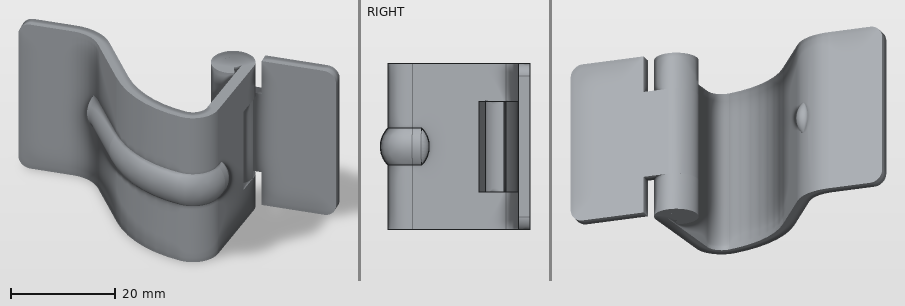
import cadquery as cq
import math

length = 64.0
height = 32.0
thickness = 2.3
corner_radius = 2.4
mid_z = height / 2

pin_radius = 2.0
loop_radius = pin_radius + thickness
pin_x = 43.9
pin_center = (pin_x, -loop_radius)
strap_loop_opening = 64.0
leaf_loop_opening = 100.0
knuckle_height = 7.3
middle_height = height - 2 * knuckle_height
leaf_clearance = 0.8
arm_clearance = 1.3

flange_length = 11.0
slope_angle = 57.0
flange_bend_front = 7.2
flange_bend_back = flange_bend_front + thickness
slope_length = 13.3
curve_front = 23.9
curve_back = curve_front - thickness
curve_end_angle = 9.2
nose_front = 5.25
nose_back = nose_front - thickness

bead_width = 7.1
bead_height = 1.5
bead_root = 1.6
bead_start_angle = 40.0
bead_arm_length = 1.7

bump_radius = 1.65
bump_height = 1.2


def polar(center, radius, angle):
    """Point at the given angle in degrees, counter-clockwise from +X."""
    a = math.radians(angle)
    return (center[0] + radius * math.cos(a), center[1] + radius * math.sin(a))


flange_bend_end = 90 - slope_angle
curve_start = 270 - slope_angle
curve_end = 270 - curve_end_angle
flange_bend_center = (flange_length, -flange_bend_back)
slope_start = polar(flange_bend_center, flange_bend_front, flange_bend_end)
slope_end = polar(slope_start, slope_length, -slope_angle)
curve_center = polar(slope_end, curve_front, flange_bend_end)
nose_center = polar(curve_center, curve_front - nose_front, curve_end)

center_dx = pin_center[0] - nose_center[0]
center_dy = pin_center[1] - nose_center[1]
center_distance = math.hypot(center_dx, center_dy)
arm_lean = math.degrees(
    math.atan2(center_dx, center_dy) - math.asin((nose_front - loop_radius) / center_distance)
)
arm_angle = -arm_lean


def arc(sketch, center, radius, start, end):
    """Continue the wire along an arc that begins at its current point."""
    return sketch.threePointArc(polar(center, radius, (start + end) / 2), polar(center, radius, end))


def strap_body():
    """Rolled sheet from the flange to the end of the hinge loop."""
    loop_end = 360 + arm_angle - strap_loop_opening
    nose_start = curve_end - 360
    w = cq.Workplane("XY").moveTo(0, -thickness).lineTo(flange_length, -thickness)
    w = arc(w, flange_bend_center, flange_bend_front, 90, flange_bend_end)
    w = w.lineTo(*slope_end)
    w = arc(w, curve_center, curve_front, curve_start, curve_end)
    w = arc(w, nose_center, nose_front, nose_start, arm_angle)
    w = w.lineTo(*polar(pin_center, loop_radius, arm_angle))
    w = arc(w, pin_center, loop_radius, arm_angle, loop_end)
    w = w.lineTo(*polar(pin_center, pin_radius, loop_end))
    w = arc(w, pin_center, pin_radius, loop_end, arm_angle)
    w = w.lineTo(*polar(nose_center, nose_back, arm_angle))
    w = arc(w, nose_center, nose_back, arm_angle, nose_start)
    w = arc(w, curve_center, curve_back, curve_end, curve_start)
    w = w.lineTo(*polar(flange_bend_center, flange_bend_back, flange_bend_end))
    w = arc(w, flange_bend_center, flange_bend_back, flange_bend_end, 90)
    w = w.lineTo(0, 0).close()
    return w.extrude(height).edges("|Y and <X").fillet(corner_radius)


def knuckle_notch():
    """Room in the strap for the middle knuckle."""
    depth = 2 * loop_radius + arm_clearance
    width = 2 * (loop_radius + arm_clearance)
    return (
        cq.Workplane("XY", origin=(pin_x, -depth / 2, mid_z))
        .box(width, depth, middle_height)
    )


def lens(center, radius):
    """Bead cross-section turned about its upright chord."""
    half = bead_width / 2
    return (
        cq.Workplane("XZ", origin=(*center, mid_z))
        .moveTo(0, -half)
        .threePointArc((radius, 0), (0, half))
        .close()
        .revolve(360, (0, 0, 0), (0, 1, 0))
    )


bead_start_radial = 90 - bead_start_angle
bead_start = polar(flange_bend_center, flange_bend_front, bead_start_radial)
arm_start = polar(nose_center, nose_front, arm_angle)
bead_end = polar(arm_start, bead_arm_length, 90 + arm_angle)


def bead():
    """Rounded bead along the strap's front face, with a rounded tip on the arm."""
    path = cq.Workplane("XY", origin=(0, 0, mid_z)).moveTo(*bead_start)
    path = arc(path, flange_bend_center, flange_bend_front, bead_start_radial, flange_bend_end)
    path = path.lineTo(*slope_end)
    path = arc(path, curve_center, curve_front, curve_start, curve_end)
    path = arc(path, nose_center, nose_front, curve_end - 360, arm_angle)
    path = path.lineTo(*bead_end)

    outward = polar((0, 0), 1, bead_start_radial + 180)
    along = polar((0, 0), 1, bead_start_radial - 90)
    section_plane = cq.Plane(origin=(*bead_start, mid_z), xDir=(*outward, 0), normal=(*along, 0))
    half = bead_width / 2
    body = (
        cq.Workplane(section_plane)
        .moveTo(-bead_root, -half)
        .lineTo(0, -half)
        .threePointArc((bead_height, 0), (0, half))
        .lineTo(-bead_root, half)
        .close()
        .sweep(path)
    )
    return body.union(lens(bead_end, bead_height))


def make_strap():
    bump_center = polar(
        flange_bend_center, flange_bend_back + bump_height - bump_radius, bead_start_radial
    )
    return (
        strap_body()
        .cut(knuckle_notch())
        .union(lens(bump_center, bump_radius))
        .cut(lens(bead_start, bead_height))
        .union(bead())
    )


def make_leaf():
    """Fixed leaf: flat plate with the middle knuckle rolled from its tab."""
    plate_left = pin_x + loop_radius + leaf_clearance
    plate = (
        cq.Workplane("XY")
        .box(length - plate_left, thickness, height, centered=False)
        .translate((plate_left, -thickness, 0))
        .edges("|Y and >X")
        .fillet(corner_radius)
    )
    loop_end = 450 - leaf_loop_opening
    tab = cq.Workplane("XY", origin=(0, 0, knuckle_height)).moveTo(plate_left, 0).lineTo(pin_x, 0)
    tab = arc(tab, pin_center, loop_radius, 90, loop_end)
    tab = tab.lineTo(*polar(pin_center, pin_radius, loop_end))
    tab = arc(tab, pin_center, pin_radius, loop_end, 90)
    tab = tab.lineTo(plate_left, -thickness).close().extrude(middle_height)
    return plate.union(tab)


def make_pin():
    return cq.Workplane("XY").center(*pin_center).circle(pin_radius).extrude(height)


strap = make_strap()
leaf = make_leaf()
pin = make_pin()

result = cq.Compound.makeCompound([strap.val(), leaf.val(), pin.val()])